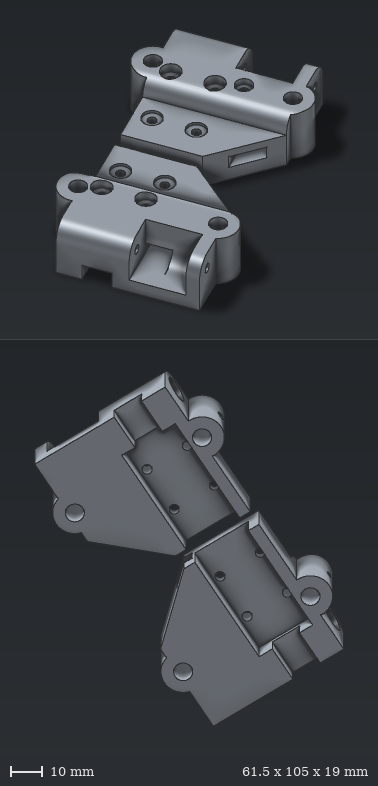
import cadquery as cq

pair_length = 105.0
bracket_length = 50.0
outer_face_y = -pair_length / 2

body_width = 48.7
body_height = 19.0
block_inset = 31.0
edge_radius = 6.5
plate_height = body_height - edge_radius
plate_end_width = 27.9

lug_radius = 7.0
lug_spacing = 47.5
lug_inset = 20.7
left_lug_x = -0.6
right_lug_x = left_lug_x + lug_spacing
rod_bore_diameter = 6.0

pocket_left = 24.9
pocket_right = 44.1
pocket_floor = 5.0
axis_inset = 6.6
axis_height = plate_height
motor_radius = axis_height - pocket_floor

passage_width = 9.5
passage_height = 4.5
upper_passage_gap = 0.3

channel_left = 8.8
channel_width = 10.2
channel_height = 6.0

axle_hole_diameter = 3.2
axle_head_diameter = 8.7
axle_head_depth = 3.2

screw_diameter = 3.2
screw_head_diameter = 7.0
block_seat_height = 15.4
plate_seat_height = 11.4
screw_first_x = 6.4
screw_first_inset = 23.1
screw_spacing_x = 15.0
screw_spacing_y = 16.0

recess_width = 20.0
recess_height = 8.0
recess_center_x = screw_first_x + screw_spacing_x / 2
recess_center_inset = screw_first_inset + screw_spacing_y / 2
recess_start_inset = 2 * recess_center_inset - bracket_length

set_screw_height = body_height / 2
lower_set_screw_diameter = 2.0
upper_set_screw_diameter = 2.6

blind_hole_x = 30.2
blind_hole_diameter = 3.2
blind_head_diameter = 6.1
blind_head_depth = 2.5
blind_hole_depth = 8.4


def at_inset(inset):
    """Y position at a distance inward from the outer face."""
    return outer_face_y + inset


def box(x_start, x_end, inset_start, inset_end, z_start, z_end):
    """Box given by its limits along X, inward from the outer face, and along Z."""
    size = (x_end - x_start, inset_end - inset_start, z_end - z_start)
    corner = (x_start, at_inset(inset_start), z_start)
    return cq.Workplane("XY").box(*size, centered=False).translate(corner)


def upright_cylinder(x, inset, diameter, z_start, z_end):
    """Cylinder along Z."""
    plane = cq.Workplane("XY", origin=(x, at_inset(inset), z_start))
    return plane.circle(diameter / 2).extrude(z_end - z_start)


def level_cylinder(inset, z, diameter, x_start, x_end):
    """Cylinder along X."""
    plane = cq.Workplane("YZ", origin=(x_start, at_inset(inset), z))
    return plane.circle(diameter / 2).extrude(x_end - x_start)


def side_profile():
    """Rounded block and low plate, long enough along X to span the lugs."""
    x_start = left_lug_x - lug_radius
    x_end = right_lug_x + lug_radius
    block = box(x_start, x_end, 0, block_inset, 0, body_height)
    block = block.edges("|X and >Z").fillet(edge_radius)
    plate = box(x_start, x_end, axis_inset, bracket_length, 0, plate_height)
    return block.union(plate)


def plan_shape():
    """Block and plate outline with one slanted corner, plus a rounded lug at each end."""
    outline = (
        cq.Workplane("XY")
        .moveTo(0, at_inset(0))
        .lineTo(body_width, at_inset(0))
        .lineTo(body_width, at_inset(block_inset))
        .lineTo(plate_end_width, at_inset(bracket_length))
        .lineTo(0, at_inset(bracket_length))
        .close()
        .extrude(body_height)
    )
    left_lug = upright_cylinder(left_lug_x, lug_inset, 2 * lug_radius, 0, body_height)
    right_lug = upright_cylinder(right_lug_x, lug_inset, 2 * lug_radius, 0, body_height)
    lug_bridge = box(
        left_lug_x, right_lug_x, lug_inset - lug_radius, lug_inset + lug_radius, 0, body_height
    )
    return outline.union(left_lug).union(right_lug).union(lug_bridge)


def motor_pocket():
    """Round-bottomed pocket with straight walls above its axis and a flat floor to the outside."""
    round_part = level_cylinder(axis_inset, axis_height, 2 * motor_radius, pocket_left, pocket_right)
    upper_part = box(
        pocket_left, pocket_right, 0, axis_inset + motor_radius, axis_height, body_height
    )
    outer_part = box(pocket_left, pocket_right, 0, axis_inset, pocket_floor, body_height)
    return round_part.union(upper_part).union(outer_part)


def passage(x_start):
    """Rectangular passage along the pocket floor, out through the inner side."""
    return box(
        x_start, x_start + passage_width, axis_inset, bracket_length,
        pocket_floor, pocket_floor + passage_height,
    )


def underside_channel():
    """Channel across the full bracket."""
    return box(channel_left, channel_left + channel_width, 0, bracket_length, 0, channel_height)


def carriage_recess():
    """Recess around the screw pattern, wider and taller than the channel."""
    x_start = recess_center_x - recess_width / 2
    return box(
        x_start, x_start + recess_width, recess_start_inset, bracket_length, 0, recess_height
    )


def axle_hole():
    """Hole along the pocket axis with its head recess in the left end face."""
    hole = level_cylinder(axis_inset, axis_height, axle_hole_diameter, 0, body_width)
    head = level_cylinder(axis_inset, axis_height, axle_head_diameter, 0, axle_head_depth)
    return hole.union(head)


def cut_mounting_screws(bracket):
    """Four counterbored holes on a rectangular grid."""
    for row, seat_height in enumerate((block_seat_height, plate_seat_height)):
        inset = screw_first_inset + row * screw_spacing_y
        for column in range(2):
            x = screw_first_x + column * screw_spacing_x
            bracket = bracket.cut(upright_cylinder(x, inset, screw_diameter, 0, body_height))
            head = upright_cylinder(x, inset, screw_head_diameter, seat_height, body_height)
            bracket = bracket.cut(head)
    return bracket


def make_bracket(passage_x, set_screw_diameter):
    """Bracket with its outer face toward -Y."""
    bracket = side_profile().intersect(plan_shape())
    bracket = bracket.cut(motor_pocket())
    bracket = bracket.cut(passage(passage_x))
    bracket = bracket.cut(underside_channel())
    bracket = bracket.cut(carriage_recess())
    bracket = bracket.cut(axle_hole())
    bracket = cut_mounting_screws(bracket)
    for lug_x in (left_lug_x, right_lug_x):
        bracket = bracket.cut(
            upright_cylinder(lug_x, lug_inset, rod_bore_diameter, 0, body_height)
        )
    set_screw = level_cylinder(
        lug_inset, set_screw_height, set_screw_diameter, left_lug_x - lug_radius, left_lug_x
    )
    return bracket.cut(set_screw)


def cut_blind_hole(bracket):
    """Counterbored blind hole in the top face."""
    hole_bottom = body_height - blind_hole_depth
    hole = upright_cylinder(blind_hole_x, lug_inset, blind_hole_diameter, hole_bottom, body_height)
    head_bottom = body_height - blind_head_depth
    head = upright_cylinder(blind_hole_x, lug_inset, blind_head_diameter, head_bottom, body_height)
    return bracket.cut(hole).cut(head)


lower_bracket = make_bracket(pocket_left, lower_set_screw_diameter)

upper_passage_x = pocket_right - upper_passage_gap - passage_width
upper_bracket = make_bracket(upper_passage_x, upper_set_screw_diameter)
upper_bracket = cut_blind_hole(upper_bracket).mirror("XZ")

result = cq.Compound.makeCompound([lower_bracket.val(), upper_bracket.val()])